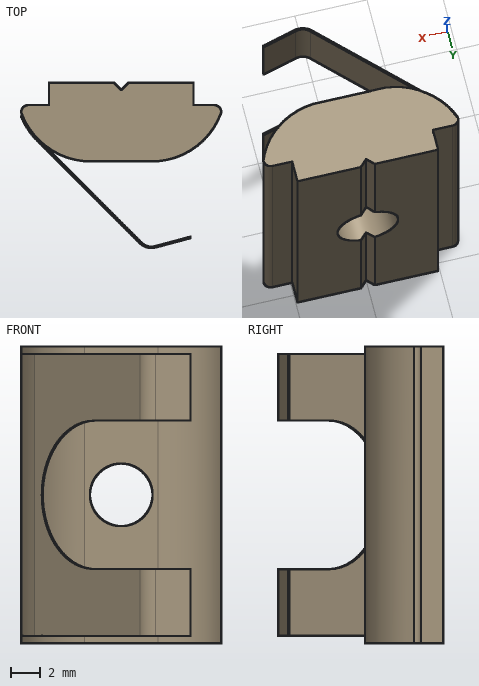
import cadquery as cq
import math

body_length = 20.0
body_depth = 5.3
body_width = 13.5
rib_half_width = 4.88
shoulder_depth = 1.5
flat_half_width = 2.48
flank_radius = 5.0
flank_center_x = 2.05
tip_radius = 0.5
notch_depth = 0.48
hole_diameter = 4.2

spring_thickness = 0.1
spring_length = 19.0
spring_front_y = -11.15
wrap_end_angle = 41.5
leaf_angle = 45.0
toe_angle = 15.0
toe_end_x = 4.68
bend_radius = 1.1
window_radius = 5.0
window_center_x = -1.82

body_half_width = body_width / 2
flank_center_y = -body_depth + math.sqrt(flank_radius**2 - (flat_half_width - flank_center_x) ** 2)
tip_center_x = body_half_width - tip_radius
tip_center_y = -shoulder_depth - tip_radius
flank_start_angle = math.degrees(math.acos((body_half_width - flank_center_x) / flank_radius))
flat_angle = math.degrees(math.acos((flat_half_width - flank_center_x) / flank_radius))

spring_radius = flank_radius + spring_thickness
wrap_start_angle = math.degrees(math.acos((body_half_width - flank_center_x) / spring_radius))

bend_center_y = spring_front_y + bend_radius


def polar(center_x, center_y, radius, angle):
    """Point on a circle, with the angle in degrees from +X."""
    turn = math.radians(angle)
    return center_x + radius * math.cos(turn), center_y + radius * math.sin(turn)


def mirrored(point):
    return -point[0], point[1]


def flank_point(angle, radius=flank_radius):
    """Point on the right flank, with the angle measured below +X."""
    return polar(flank_center_x, flank_center_y, radius, -angle)


def wrap_point(angle, radius):
    """Point on the left flank or on the spring wrapped around it."""
    return mirrored(flank_point(angle, radius))


leaf_start = wrap_point(wrap_end_angle, spring_radius)
leaf_slope = math.tan(math.radians(leaf_angle))
leaf_bend_angle = -90 - leaf_angle
toe_bend_angle = -90 + toe_angle
_, leaf_end_y = polar(0, bend_center_y, bend_radius, leaf_bend_angle)
leaf_end_x = leaf_start[0] + (leaf_start[1] - leaf_end_y) / leaf_slope
bend_center_x = leaf_end_x + bend_radius * math.sin(math.radians(leaf_angle))


def extrude_centered(profile, length):
    return profile.extrude(length / 2, both=True)


def make_body():
    tip_top = (tip_center_x, -shoulder_depth)
    tip_middle = polar(tip_center_x, tip_center_y, tip_radius, 45)
    flank_start = flank_point(flank_start_angle)
    flank_middle = flank_point((flank_start_angle + flat_angle) / 2)
    flat_end = (flat_half_width, -body_depth)
    profile = (
        cq.Workplane("XY")
        .moveTo(0, -notch_depth)
        .lineTo(notch_depth, 0)
        .lineTo(rib_half_width, 0)
        .lineTo(rib_half_width, -shoulder_depth)
        .lineTo(*tip_top)
        .threePointArc(tip_middle, flank_start)
        .threePointArc(flank_middle, flat_end)
        .lineTo(*mirrored(flat_end))
        .threePointArc(mirrored(flank_middle), mirrored(flank_start))
        .threePointArc(mirrored(tip_middle), mirrored(tip_top))
        .lineTo(-rib_half_width, -shoulder_depth)
        .lineTo(-rib_half_width, 0)
        .lineTo(-notch_depth, 0)
        .close()
    )
    hole = cq.Workplane("XZ").circle(hole_diameter / 2).extrude(body_depth)
    return extrude_centered(profile, body_length).cut(hole)


def spring_face_points(inset):
    """Points along one face of the spring, from wrap to toe, inset from the outer face."""
    wrap_radius = spring_radius - inset
    radius = bend_radius - inset
    bend_middle_angle = (leaf_bend_angle + toe_bend_angle) / 2
    bend_end = polar(bend_center_x, bend_center_y, radius, toe_bend_angle)
    toe_rise = (toe_end_x - bend_end[0]) * math.tan(math.radians(toe_angle))
    return (
        wrap_point(wrap_start_angle, wrap_radius),
        wrap_point((wrap_start_angle + wrap_end_angle) / 2, wrap_radius),
        wrap_point(wrap_end_angle, wrap_radius),
        polar(bend_center_x, bend_center_y, radius, leaf_bend_angle),
        polar(bend_center_x, bend_center_y, radius, bend_middle_angle),
        bend_end,
        (toe_end_x, bend_end[1] + toe_rise),
    )


def make_window():
    """Round-ended opening, cut square to the leaf and open towards the toe."""
    center_y = leaf_start[1] - (window_center_x - leaf_start[0]) * leaf_slope
    along_leaf = polar(0, 0, 1, -leaf_angle)
    leaf_normal = polar(0, 0, 1, leaf_angle)
    plane = cq.Plane(
        origin=(window_center_x, center_y, 0),
        xDir=(*along_leaf, 0),
        normal=(*leaf_normal, 0),
    )
    reach = toe_end_x - spring_front_y
    profile = (
        cq.Workplane(plane)
        .moveTo(0, window_radius)
        .threePointArc((-window_radius, 0), (0, -window_radius))
        .lineTo(reach, -window_radius)
        .lineTo(reach, window_radius)
        .close()
    )
    return extrude_centered(profile, 2 * reach)


def make_spring():
    outer = spring_face_points(0)
    inner = spring_face_points(spring_thickness)
    profile = (
        cq.Workplane("XY")
        .moveTo(*outer[0])
        .threePointArc(outer[1], outer[2])
        .lineTo(*outer[3])
        .threePointArc(outer[4], outer[5])
        .lineTo(*outer[6])
        .lineTo(*inner[6])
        .lineTo(*inner[5])
        .threePointArc(inner[4], inner[3])
        .lineTo(*inner[2])
        .threePointArc(inner[1], inner[0])
        .close()
    )
    return extrude_centered(profile, spring_length).cut(make_window())


result = make_body().union(make_spring())